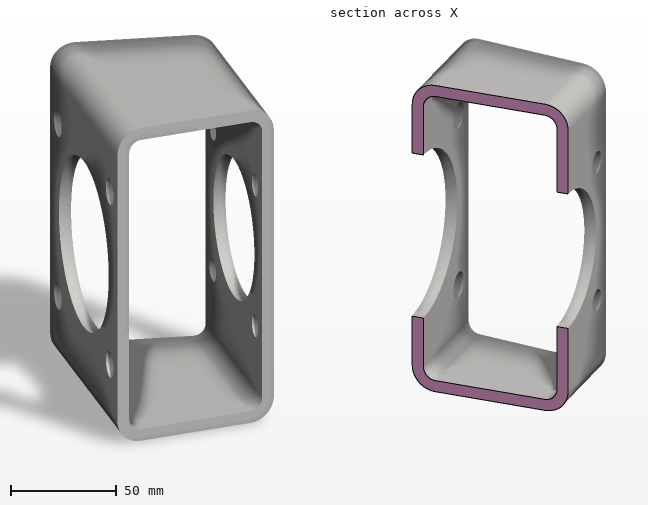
import cadquery as cq
import math

tube_depth = 80.0
tube_height = 160.0
wall = 6.0
outer_radius = 12.0
inner_radius = outer_radius - wall

front_length = 115.0
back_length = 95.0

front_bore_diameter = 85.0
front_bolt_diameter = 13.0
front_bolt_circle = 125.0

back_bore_diameter = 70.0
back_bolt_diameter = 11.0
back_bolt_circle = 102.0

front_y = -tube_depth / 2
back_y = tube_depth / 2


def rounded_bar(depth, height, radius):
    """Solid bar along X, centred on the origin, with rounded long edges."""
    bar = cq.Workplane("XY").box(front_length, depth, height)
    return bar.edges("|X").fillet(radius)


def make_tube():
    """Hollow tube with rounded corners and a constant wall."""
    outside = rounded_bar(tube_depth, tube_height, outer_radius)
    inside = rounded_bar(tube_depth - 2 * wall, tube_height - 2 * wall, inner_radius)
    return outside.cut(inside)


def make_miter_envelope():
    """Trapezoidal prism whose slanted sides form the mitred tube ends."""
    return (
        cq.Workplane("XY")
        .polyline([
            (-front_length / 2, front_y),
            (front_length / 2, front_y),
            (back_length / 2, back_y),
            (-back_length / 2, back_y),
        ])
        .close()
        .extrude(tube_height / 2, both=True)
    )


def wall_openings(outer_y, inward, bore_diameter, bolt_diameter, bolt_circle):
    """Cutters for a central bore and four bolt holes through one wall.

    inward is +1 or -1, the Y direction from the wall's outer face to the tube's inside.
    """
    face = cq.Workplane("XZ", origin=(0, outer_y, 0))
    cut_length = -inward * wall
    bolt_spacing = bolt_circle / math.sqrt(2)
    bore = face.circle(bore_diameter / 2).extrude(cut_length)
    bolts = (
        face.rect(bolt_spacing, bolt_spacing, forConstruction=True)
        .vertices()
        .circle(bolt_diameter / 2)
        .extrude(cut_length)
    )
    return bore.union(bolts)


front_openings = wall_openings(
    front_y, 1, front_bore_diameter, front_bolt_diameter, front_bolt_circle
)
back_openings = wall_openings(
    back_y, -1, back_bore_diameter, back_bolt_diameter, back_bolt_circle
)

result = make_tube().intersect(make_miter_envelope()).cut(front_openings).cut(back_openings)